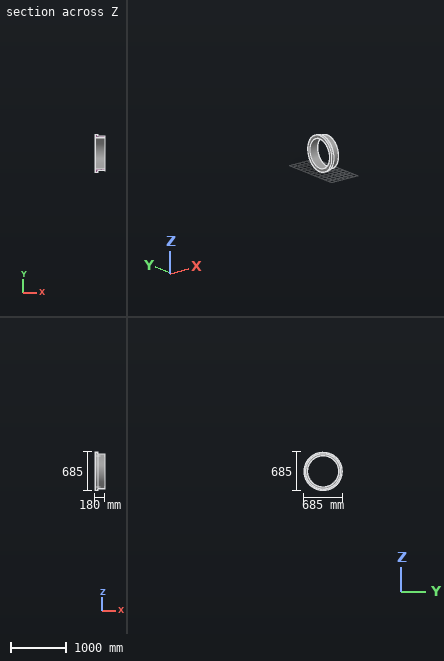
import cadquery as cq

total_length = 180.0
flange_diameter = 685.0
flange_thickness = 50.0
sleeve_diameter = 630.0
bore_diameter = 555.0
root_fillet_radius = 8.0


def cylinder_along_x(diameter, length):
    return cq.Workplane("YZ").circle(diameter / 2).extrude(length)


flange = cylinder_along_x(flange_diameter, flange_thickness)
sleeve = cylinder_along_x(sleeve_diameter, total_length)
body = flange.union(sleeve)

flange_back = body.faces("|X").faces(">X[-2]")
root_edge = flange_back.edges(cq.selectors.RadiusNthSelector(0))
body = root_edge.fillet(root_fillet_radius)

result = body.cut(cylinder_along_x(bore_diameter, total_length))